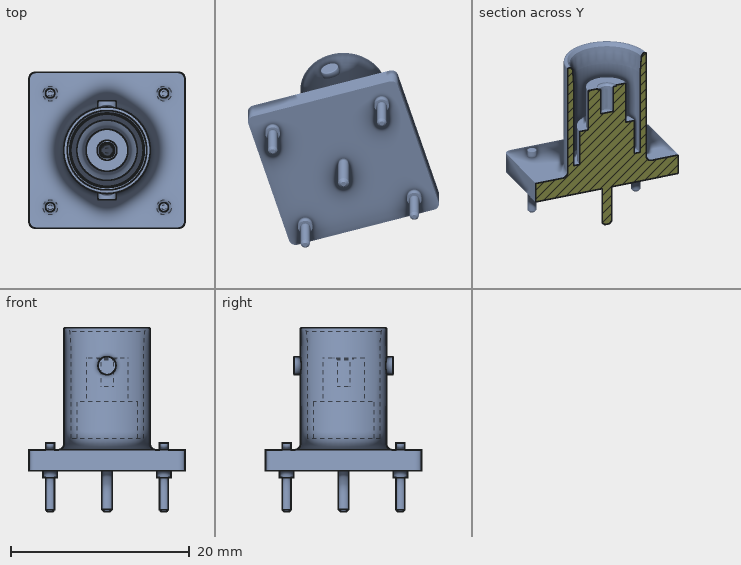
import cadquery as cq

plate_side = 17.45
plate_corner_radius = 0.76
plate_bottom = 4.57
plate_top = 6.93

barrel_top = 20.57
barrel_radius = 4.83
foot_fillet = 0.62
rim_fillet = 0.19
mouth_radius = 4.45
mouth_depth = 0.37
throat_radius = 4.18
bore_radius = 4.03
taper_depth = 2.47
bore_floor = 8.23

sleeve_radius = 3.37
sleeve_top = 12.35
insulator_radius = 2.35
insulator_top = 17.24

contact_radius = 1.11
contact_recess = 0.12
socket_mouth_radius = 0.86
socket_radius = 0.72
socket_countersink = 0.15
socket_depth = 3.09

lug_radius = 1.0
lug_span = 11.07
lug_height = 16.33
lug_fillet = 0.1

pin_pitch = 12.71
pin_radius = 0.51
pin_top = 7.7
pin_chamfer = 0.25
shoulder_radius = 0.82
shoulder_height = 0.75

centre_pin_radius = 0.6
centre_pin_chamfer = 0.3


def cylinder(radius, bottom, top):
    """Upright cylinder on the Z axis."""
    return cq.Workplane("XY").workplane(offset=bottom).circle(radius).extrude(top - bottom)


def make_plate():
    plate = cq.Workplane("XY").workplane(offset=plate_bottom).rect(plate_side, plate_side)
    return plate.extrude(plate_top - plate_bottom).edges("|Z").fillet(plate_corner_radius)


def make_lugs():
    lugs = cq.Workplane("XZ").center(0, lug_height).circle(lug_radius).extrude(lug_span / 2, both=True)
    return lugs.faces("<Y or >Y").edges().fillet(lug_fillet)


def make_bore():
    """Chamfered mouth, slight taper, then a straight bore down to its floor."""
    profile = [
        (0, bore_floor),
        (bore_radius, bore_floor),
        (bore_radius, barrel_top - taper_depth),
        (throat_radius, barrel_top - mouth_depth),
        (mouth_radius, barrel_top),
        (0, barrel_top),
    ]
    return cq.Workplane("XZ").polyline(profile).close().revolve()


def make_insulator():
    """Stepped insulator with the countersunk socket contact in its middle."""
    contact_top = insulator_top - contact_recess
    body = cylinder(sleeve_radius, bore_floor, sleeve_top)
    body = body.union(cylinder(insulator_radius, bore_floor, insulator_top))
    opening = [
        (0, insulator_top),
        (contact_radius, insulator_top),
        (contact_radius, contact_top),
        (socket_mouth_radius, contact_top),
        (socket_radius, contact_top - socket_countersink),
        (socket_radius, contact_top - socket_depth),
        (0, contact_top - socket_depth),
    ]
    return body.cut(cq.Workplane("XZ").polyline(opening).close().revolve())


def make_barrel():
    """Barrel with rounded rim and a concave fillet where it meets the plate."""
    arc_middle = foot_fillet * (1 - 0.5 ** 0.5)
    outline = (
        cq.Workplane("XZ")
        .moveTo(0, plate_top)
        .lineTo(barrel_radius + foot_fillet, plate_top)
        .threePointArc(
            (barrel_radius + arc_middle, plate_top + arc_middle),
            (barrel_radius, plate_top + foot_fillet),
        )
        .lineTo(barrel_radius, barrel_top)
        .lineTo(0, barrel_top)
        .close()
    )
    barrel = outline.revolve().faces(">Z").edges().fillet(rim_fillet)
    return barrel.union(make_lugs()).cut(make_bore())


def make_pin(radius, top, chamfer):
    return cylinder(radius, 0, top).faces("<Z").chamfer(chamfer)


def make_corner_pin():
    shoulder = cylinder(shoulder_radius, plate_bottom - shoulder_height, plate_bottom)
    return make_pin(pin_radius, pin_top, pin_chamfer).union(shoulder)


result = make_plate().union(make_barrel()).union(make_insulator())
result = result.union(make_pin(centre_pin_radius, plate_bottom, centre_pin_chamfer))
corner_pin = make_corner_pin()
for x_side in (-1, 1):
    for y_side in (-1, 1):
        corner = (x_side * pin_pitch / 2, y_side * pin_pitch / 2, 0)
        result = result.union(corner_pin.translate(corner))